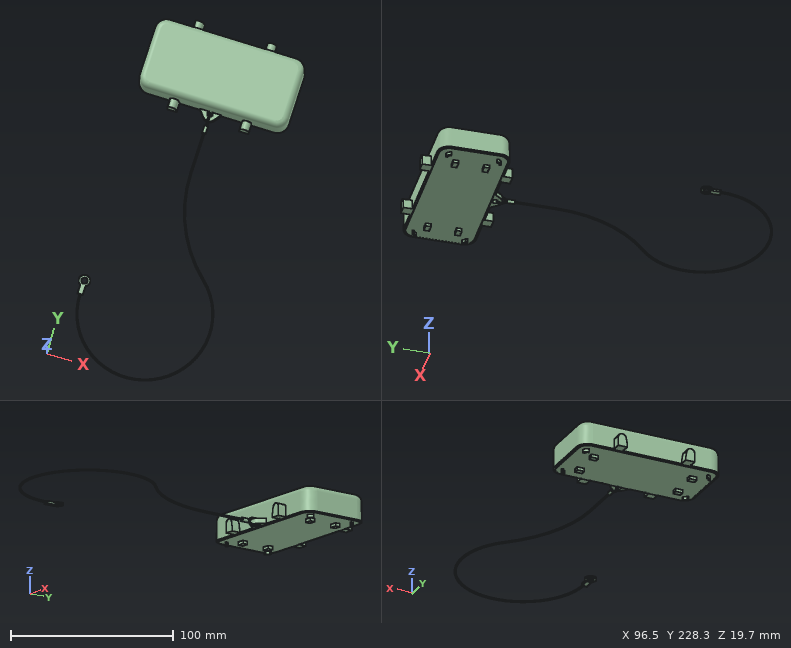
import cadquery as cq
import math

BODY_LENGTH = 96.5
BODY_WIDTH = 46.0
BODY_HEIGHT = 17.0
CORNER_RADIUS = 7.5
TOP_FILLET = 3.9
DRAFT_ANGLE = 0.7

LIP_INSET = 1.1
LIP_DEPTH = 0.7

FOOT_DEPTH = 2.7
FOOT_LENGTH = 4.8
FOOT_WIDTH = 3.5
FOOT_X = 33.8
FOOT_Y = 9.8
RIB_X = 40.6
RIB_Y = 14.5
RIB_RADIUS = 3.0
RIB_THICKNESS = 1.1

LUG_SPAN = 57.5
LUG_OUTER_X = 26.3
LUG_INNER_X = 20.0
LUG_HEIGHT = 8.5
LUG_RADIUS = 2.7
LUG_STEP_HEIGHT = 2.0

TAB_THICKNESS = 3.5
TAB_BASE_HALF_WIDTH = 6.8
TAB_END_RADIUS = 4.5
TAB_HOLE_RADIUS = 1.71
TAB_OFFSET = 1.4

CABLE_DIAMETER = 1.0
COIL_RADIUS = 41.89
BEND_RADIUS = 2 * COIL_RADIUS
TOTAL_LENGTH = 228.3
CRIMP_START = 3.0
CRIMP_LENGTH = 5.0
CRIMP_DIAMETER = 2.5
LOOP_SPREAD = 0.5
SEAT_OVERLAP = 0.05

EYE_RADIUS = 3.7
EYE_HOLE_RADIUS = 1.95
EYE_THICKNESS = 1.0
EYE_DISTANCE = 9.0
SLEEVE_LENGTH = 6.8
SLEEVE_WIDTH = 3.5
SLEEVE_HEIGHT = 1.5

side_y = BODY_WIDTH / 2
wire_radius = CABLE_DIAMETER / 2
cable_z = TAB_THICKNESS / 2
tab_centre_y = -side_y - TAB_OFFSET
tab_end_y = tab_centre_y - TAB_END_RADIUS
crimp_y = tab_end_y - CRIMP_START
crimp_end_y = crimp_y - CRIMP_LENGTH
coil_y = LUG_SPAN / 2 - TOTAL_LENGTH + wire_radius + COIL_RADIUS


def rounded_block(length, width, radius, bottom, height, taper=0.0):
    outline = cq.Sketch().rect(length, width).vertices().fillet(radius)
    return cq.Workplane("XY", origin=(0, 0, bottom)).placeSketch(outline).extrude(height, taper=taper)


def make_body():
    body = rounded_block(BODY_LENGTH, BODY_WIDTH, CORNER_RADIUS, 0, BODY_HEIGHT, DRAFT_ANGLE)
    body = body.faces(">Z").edges().fillet(TOP_FILLET)
    lip = rounded_block(
        BODY_LENGTH - 2 * LIP_INSET,
        BODY_WIDTH - 2 * LIP_INSET,
        CORNER_RADIUS - LIP_INSET,
        -LIP_DEPTH,
        LIP_DEPTH,
    )
    return body.union(lip)


def make_feet():
    feet_plane = cq.Workplane("XY", origin=(0, 0, -FOOT_DEPTH))
    return feet_plane.rect(2 * FOOT_X, 2 * FOOT_Y, forConstruction=True).vertices().rect(
        FOOT_LENGTH, FOOT_WIDTH
    ).extrude(FOOT_DEPTH)


def make_corner_ribs():
    """Quarter-ring ribs, one at each corner."""
    inner_radius = RIB_RADIUS - RIB_THICKNESS
    diagonal = math.sqrt(0.5)
    rib = (
        cq.Workplane("XY", origin=(RIB_X, RIB_Y, -FOOT_DEPTH))
        .moveTo(RIB_RADIUS, 0)
        .threePointArc((RIB_RADIUS * diagonal, RIB_RADIUS * diagonal), (0, RIB_RADIUS))
        .lineTo(0, inner_radius)
        .threePointArc((inner_radius * diagonal, inner_radius * diagonal), (inner_radius, 0))
        .close()
        .extrude(FOOT_DEPTH)
    )
    pair = rib.union(rib.mirror("YZ"))
    return pair.union(pair.mirror("XZ"))


def tangent_angle(dx, dy, radius):
    """Direction from a circle centre to its tangent point, for a line through the offset point (dx, dy).

    Of the two tangent points, this is the one further counterclockwise.
    """
    return math.atan2(dy, dx) + math.acos(radius / math.hypot(dx, dy))


def make_lugs():
    """Round-topped lugs through the body, upright outside and sloped inside."""
    centre_x = -LUG_OUTER_X + LUG_RADIUS
    centre_z = LUG_HEIGHT - LUG_RADIUS
    slope = tangent_angle(-LUG_INNER_X - centre_x, LUG_STEP_HEIGHT - centre_z, LUG_RADIUS)
    slope_top = (centre_x + LUG_RADIUS * math.cos(slope), centre_z + LUG_RADIUS * math.sin(slope))
    lug = (
        cq.Workplane("XZ")
        .moveTo(-LUG_OUTER_X, 0)
        .lineTo(-LUG_OUTER_X, centre_z)
        .threePointArc((centre_x, LUG_HEIGHT), slope_top)
        .lineTo(-LUG_INNER_X, LUG_STEP_HEIGHT)
        .lineTo(-LUG_INNER_X, 0)
        .close()
        .extrude(LUG_SPAN / 2, both=True)
    )
    return lug.union(lug.mirror("YZ"))


def make_tab():
    """Tapered tab with a round end; its straight sides are tangent to the end arc."""
    angle = tangent_angle(-TAB_BASE_HALF_WIDTH, TAB_OFFSET, TAB_END_RADIUS)
    tangent_x = -TAB_END_RADIUS * math.cos(angle)
    tangent_y = tab_centre_y + TAB_END_RADIUS * math.sin(angle)
    tab = (
        cq.Workplane("XY")
        .moveTo(-TAB_BASE_HALF_WIDTH, -side_y + LIP_INSET)
        .lineTo(-TAB_BASE_HALF_WIDTH, -side_y)
        .lineTo(-tangent_x, tangent_y)
        .threePointArc((0, tab_end_y), (tangent_x, tangent_y))
        .lineTo(TAB_BASE_HALF_WIDTH, -side_y)
        .lineTo(TAB_BASE_HALF_WIDTH, -side_y + LIP_INSET)
        .close()
        .extrude(TAB_THICKNESS)
    )
    hole = cq.Workplane("XY").center(0, tab_centre_y).circle(TAB_HOLE_RADIUS).extrude(TAB_THICKNESS)
    return tab.cut(hole)


def make_rod(start, end):
    along = end - start
    return cq.Workplane(cq.Solid.makeCylinder(wire_radius, along.Length, start, along))


def make_loop():
    """Wire from the crimp over the tab, down through its hole and back underneath."""
    leg_z = TAB_THICKNESS / 2 + wire_radius - SEAT_OVERLAP
    leg_y = tab_centre_y - TAB_HOLE_RADIUS + wire_radius - SEAT_OVERLAP
    joints = [
        cq.Vector(0, y, cable_z + offset)
        for y, offset in (
            (crimp_y - CRIMP_LENGTH / 2, LOOP_SPREAD),
            (crimp_y, LOOP_SPREAD),
            (tab_end_y, leg_z),
            (leg_y, leg_z),
            (leg_y, -leg_z),
            (tab_end_y, -leg_z),
            (crimp_y, -LOOP_SPREAD),
            (crimp_y - CRIMP_LENGTH / 2, -LOOP_SPREAD),
        )
    ]
    crimp = cq.Workplane("XZ", origin=(0, crimp_y, cable_z)).circle(CRIMP_DIAMETER / 2).extrude(CRIMP_LENGTH)
    loop = crimp
    for start, end in zip(joints, joints[1:]):
        loop = loop.union(make_rod(start, end))
    for joint in joints[1:-1]:
        ball = cq.Workplane("XY").sphere(wire_radius).translate(joint)
        loop = loop.union(ball)
    return loop


def make_cable():
    """Straight run, a wide bend to +X, then a coil ending at its -X side."""
    centre_distance = BEND_RADIUS + COIL_RADIUS
    meet_angle = math.acos(BEND_RADIUS / centre_distance)
    bend_y = coil_y + centre_distance * math.sin(meet_angle)

    def bend_point(angle):
        return BEND_RADIUS * (1 - math.cos(angle)), bend_y - BEND_RADIUS * math.sin(angle)

    def coil_point(angle):
        return COIL_RADIUS * math.cos(angle), coil_y + COIL_RADIUS * math.sin(angle)

    start_y = crimp_end_y + CRIMP_LENGTH / 2
    path = (
        cq.Workplane("XY", origin=(0, 0, cable_z))
        .moveTo(0, start_y)
        .lineTo(0, bend_y)
        .threePointArc(bend_point(meet_angle / 2), bend_point(meet_angle))
        .threePointArc(coil_point((meet_angle - math.pi) / 2), coil_point(-math.pi))
    )
    return cq.Workplane("XZ", origin=(0, start_y, cable_z)).circle(wire_radius).sweep(path)


def make_eye():
    """Flat ring with a flattened sleeve around the cable end."""
    top_z = cable_z + wire_radius
    ring_y = coil_y + EYE_DISTANCE
    ring = (
        cq.Workplane("XY", origin=(-COIL_RADIUS, ring_y, top_z))
        .circle(EYE_RADIUS)
        .circle(EYE_HOLE_RADIUS)
        .extrude(-EYE_THICKNESS)
    )
    sleeve = cq.Workplane("XY", origin=(-COIL_RADIUS, coil_y + SLEEVE_LENGTH / 2, top_z)).rect(
        SLEEVE_WIDTH, SLEEVE_LENGTH
    ).extrude(-SLEEVE_HEIGHT)
    return ring.union(sleeve)


result = make_body()
for feature in (make_feet, make_corner_ribs, make_lugs, make_tab, make_loop, make_cable, make_eye):
    result = result.union(feature())